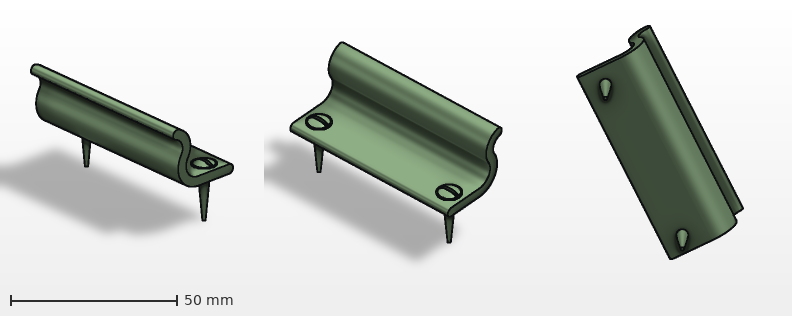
import cadquery as cq
import math

length = 63.35
thickness = 3.2
half_thickness = thickness / 2
flat_end_y = -14.3
lower_bend_radius = 6.45
upper_bend_radius = 5.4
junction_angle = math.radians(32.2)
lip_angle = math.radians(74.0)

screw_end_margin = 5.5
screw_y = -6.85
shank_radius = 1.8
shank_end_z = -1.3
tip_radius = 0.54
tip_z = -15.5
head_radius = 3.5
head_rim_z = thickness + 0.2
head_top_z = thickness + 1.2
slot_width = 1.1
slot_floor_z = thickness - 0.05

countersink_radius = 4.0
countersink_bottom_z = thickness - (countersink_radius - shank_radius)
head_cone_bottom_z = head_rim_z - (head_radius - shank_radius)

screw_xs = (screw_end_margin, length - screw_end_margin)


def polar(center, radius, angle):
    """Point (Y, Z) at a radius and angle from a center; angle 0 points to +Y."""
    return (center[0] + radius * math.cos(angle), center[1] + radius * math.sin(angle))


def make_rail():
    lower_center = (flat_end_y, half_thickness + lower_bend_radius)
    lower_start = -math.pi / 2
    lower_end = -math.pi - junction_angle
    lower_middle = (lower_start + lower_end) / 2

    upper_center = polar(lower_center, lower_bend_radius + upper_bend_radius, lower_end)
    upper_start = -junction_angle
    upper_end = lip_angle
    upper_middle = (upper_start + upper_end) / 2

    lower_outer = lower_bend_radius + half_thickness
    lower_inner = lower_bend_radius - half_thickness
    upper_outer = upper_bend_radius + half_thickness
    upper_inner = upper_bend_radius - half_thickness
    lip_center = polar(upper_center, upper_bend_radius, upper_end)

    profile = (
        cq.Workplane("YZ")
        .moveTo(-half_thickness, 0)
        .lineTo(flat_end_y, 0)
        .threePointArc(
            polar(lower_center, lower_outer, lower_middle),
            polar(lower_center, lower_outer, lower_end),
        )
        .threePointArc(
            polar(upper_center, upper_inner, upper_middle),
            polar(upper_center, upper_inner, upper_end),
        )
        .threePointArc(
            polar(lip_center, half_thickness, upper_end + math.pi / 2),
            polar(upper_center, upper_outer, upper_end),
        )
        .threePointArc(
            polar(upper_center, upper_outer, upper_middle),
            polar(upper_center, upper_outer, upper_start),
        )
        .threePointArc(
            polar(lower_center, lower_inner, lower_middle),
            (flat_end_y, thickness),
        )
        .lineTo(-half_thickness, thickness)
        .threePointArc((0, half_thickness), (-half_thickness, 0))
        .close()
    )
    rail = profile.extrude(length)
    for x in screw_xs:
        rail = rail.cut(make_screw_hole(x))
    return rail


def make_screw_hole(x):
    """Tool for a through hole with a countersink at its top."""
    return (
        cq.Workplane("XZ")
        .polyline([
            (0, 0),
            (shank_radius, 0),
            (shank_radius, countersink_bottom_z),
            (countersink_radius, thickness),
            (0, thickness),
        ])
        .close()
        .revolve(360, (0, 0), (0, 1))
        .translate((x, screw_y, 0))
    )


def make_screw(x):
    dome_height = head_top_z - head_rim_z
    dome_radius = (head_radius**2 + dome_height**2) / (2 * dome_height)
    dome_center = (0, head_top_z - dome_radius)
    rim_angle = math.acos(head_radius / dome_radius)
    dome_middle = polar(dome_center, dome_radius, (rim_angle + math.pi / 2) / 2)

    body = (
        cq.Workplane("XZ")
        .moveTo(0, tip_z)
        .lineTo(tip_radius, tip_z)
        .lineTo(shank_radius, shank_end_z)
        .lineTo(shank_radius, head_cone_bottom_z)
        .lineTo(head_radius, head_rim_z)
        .threePointArc(dome_middle, (0, head_top_z))
        .close()
        .revolve(360, (0, 0), (0, 1))
    )
    slot = (
        cq.Workplane("XY")
        .workplane(offset=slot_floor_z)
        .rect(2 * countersink_radius, slot_width)
        .extrude(head_top_z - slot_floor_z)
    )
    return body.cut(slot).translate((x, screw_y, 0))


rail = make_rail()
screws = [make_screw(x) for x in screw_xs]

result = cq.Compound.makeCompound([rail.val(), *[screw.val() for screw in screws]])